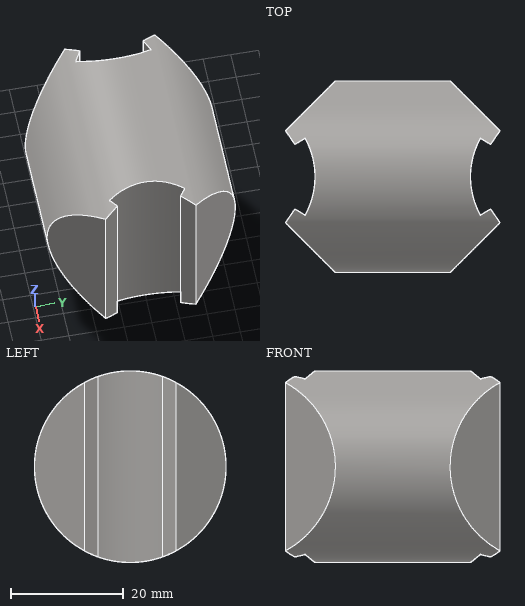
import cadquery as cq

bar_diameter = 34.0
bar_length = 38.04
chamfer = 8.85

waist_half_length = 13.8
lip_tip = (17.35, 5.7)
lip_root = (15.53, 6.8)

half_length = bar_length / 2
bar_radius = bar_diameter / 2
flat_half_length = half_length - chamfer
end_half_width = bar_radius - chamfer


def mirror_x(point):
    return (-point[0], point[1])


def mirror_y(point):
    return (point[0], -point[1])


def rotate_half_turn(point):
    return (-point[0], -point[1])


def plan_outline():
    """Closed outline in the XY plane, drawn counterclockwise from the +X, +Y end corner."""
    end_corner = (half_length, end_half_width)
    flat_corner = (flat_half_length, bar_radius)
    groove_floor = (waist_half_length, 0)
    return (
        cq.Workplane("XY", origin=(0, 0, -bar_radius))
        .moveTo(*end_corner)
        .lineTo(*flat_corner)
        .lineTo(*mirror_x(flat_corner))
        .lineTo(*mirror_x(end_corner))
        .lineTo(*mirror_x(lip_tip))
        .lineTo(*mirror_x(lip_root))
        .threePointArc(mirror_x(groove_floor), rotate_half_turn(lip_root))
        .lineTo(*rotate_half_turn(lip_tip))
        .lineTo(*rotate_half_turn(end_corner))
        .lineTo(*rotate_half_turn(flat_corner))
        .lineTo(*mirror_y(flat_corner))
        .lineTo(*mirror_y(end_corner))
        .lineTo(*mirror_y(lip_tip))
        .lineTo(*mirror_y(lip_root))
        .threePointArc(groove_floor, lip_root)
        .lineTo(*lip_tip)
        .close()
    )


def round_bar():
    return (
        cq.Workplane("YZ", origin=(-half_length, 0, 0))
        .circle(bar_radius)
        .extrude(bar_length)
    )


result = round_bar().intersect(plan_outline().extrude(bar_diameter))